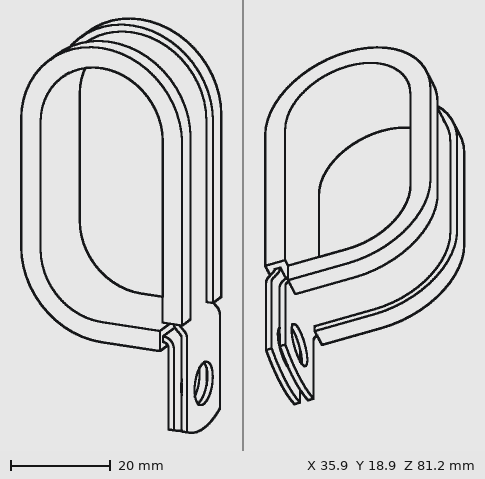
import cadquery as cq
import math

loop_width = 35.5
loop_height = 62.5
loop_depth = 18.9
cushion_thickness = 4.3
groove_width = 10.8
groove_depth = 1.5
long_arm_end_height = 24.8
short_arm_end_x = 12.8

total_height = 81.2
strap_thickness = 1.2
tab_width = 15.8
tab_overhang = 0.4
tab_gap = 1.7
tab_end_rise = 1.7
hole_diameter = 8.8
hole_height = 9.6
bend_inner_radius = 1.1
jog_angle = math.radians(45)
strap_embed = 1.6

outer_radius = loop_width / 2
loop_bottom = total_height - loop_height
upper_center = total_height - outer_radius
lower_center = loop_bottom + outer_radius
groove_radius = outer_radius - groove_depth
strap_inner_radius = groove_radius - strap_thickness
long_tab_outer_x = outer_radius + tab_overhang
long_tab_inner_x = long_tab_outer_x - strap_thickness
short_tab_outer_x = long_tab_inner_x - tab_gap
short_tab_inner_x = short_tab_outer_x - strap_thickness
jog_offset = long_tab_outer_x - groove_radius
jog_height = jog_offset / math.tan(jog_angle)

bend_outer_radius = bend_inner_radius + strap_thickness
jog_top = long_arm_end_height - bend_outer_radius * math.tan(jog_angle / 2)


def extrude_centered(outline, depth):
    """Extrude an XZ outline symmetrically about Y = 0."""
    return outline.extrude(depth / 2, both=True)


def open_loop(outer, inner, depth):
    """Loop between two radii, with a long right arm and a short bottom arm."""
    outline = (
        cq.Workplane("XZ")
        .moveTo(outer, long_arm_end_height)
        .lineTo(outer, upper_center)
        .threePointArc((0, upper_center + outer), (-outer, upper_center))
        .lineTo(-outer, lower_center)
        .threePointArc(
            (-outer * math.sqrt(0.5), lower_center - outer * math.sqrt(0.5)),
            (0, lower_center - outer),
        )
        .lineTo(short_arm_end_x, lower_center - outer)
        .lineTo(short_arm_end_x, lower_center - inner)
        .lineTo(0, lower_center - inner)
        .threePointArc(
            (-inner * math.sqrt(0.5), lower_center - inner * math.sqrt(0.5)),
            (-inner, lower_center),
        )
        .lineTo(-inner, upper_center)
        .threePointArc((0, upper_center + inner), (inner, upper_center))
        .lineTo(inner, long_arm_end_height)
        .close()
    )
    return extrude_centered(outline, depth)


def fillet_bend(body, x, z, radius):
    """Round the bend edge that runs along Y through (x, z)."""
    return body.edges(cq.selectors.NearestToPointSelector((x, 0, z))).fillet(radius)


def long_arm_tab():
    """Strap leaving the long arm, with a jog outward to the vertical tab."""
    embed_top = long_arm_end_height + strap_embed
    jog_bottom = jog_top - jog_height
    outer_face_shift = strap_thickness * math.tan(jog_angle / 2)
    outline = (
        cq.Workplane("XZ")
        .moveTo(strap_inner_radius, embed_top)
        .lineTo(strap_inner_radius, jog_top)
        .lineTo(long_tab_inner_x, jog_bottom)
        .lineTo(long_tab_inner_x, 0)
        .lineTo(long_tab_outer_x, 0)
        .lineTo(long_tab_outer_x, jog_bottom + outer_face_shift)
        .lineTo(groove_radius, jog_top + outer_face_shift)
        .lineTo(groove_radius, embed_top)
        .close()
    )
    tab = extrude_centered(outline, tab_width)
    tab = fillet_bend(tab, strap_inner_radius, jog_top, bend_outer_radius)
    tab = fillet_bend(tab, long_tab_inner_x, jog_bottom, bend_inner_radius)
    tab = fillet_bend(tab, long_tab_outer_x, jog_bottom + outer_face_shift, bend_outer_radius)
    return fillet_bend(tab, groove_radius, jog_top + outer_face_shift, bend_inner_radius)


def short_arm_tab():
    """Strap leaving the short arm and turning straight down."""
    strap_bottom = lower_center - groove_radius
    strap_top = strap_bottom + strap_thickness
    embed_x = short_arm_end_x - strap_embed
    outline = (
        cq.Workplane("XZ")
        .moveTo(embed_x, strap_top)
        .lineTo(short_tab_outer_x, strap_top)
        .lineTo(short_tab_outer_x, 0)
        .lineTo(short_tab_inner_x, 0)
        .lineTo(short_tab_inner_x, strap_bottom)
        .lineTo(embed_x, strap_bottom)
        .close()
    )
    tab = extrude_centered(outline, tab_width)
    tab = fillet_bend(tab, short_tab_outer_x, strap_top, bend_outer_radius)
    return fillet_bend(tab, short_tab_inner_x, strap_bottom, bend_inner_radius)


def tab_envelope():
    """Shape of both tabs seen along X: straight sides and an arched lower end."""
    half_width = tab_width / 2
    top = long_arm_end_height + strap_embed
    return (
        cq.Workplane("YZ")
        .moveTo(-half_width, top)
        .lineTo(-half_width, tab_end_rise)
        .threePointArc((0, 0), (half_width, tab_end_rise))
        .lineTo(half_width, top)
        .close()
        .extrude(loop_width)
    )


cushion = open_loop(outer_radius, outer_radius - cushion_thickness, loop_depth)
groove = open_loop(outer_radius, groove_radius, groove_width)
cushion = cushion.cut(groove)

tabs = long_arm_tab().union(short_arm_tab()).intersect(tab_envelope())
bolt_hole = cq.Workplane("YZ").center(0, hole_height).circle(hole_diameter / 2).extrude(loop_width)
tabs = tabs.cut(bolt_hole)

result = cushion.union(tabs)